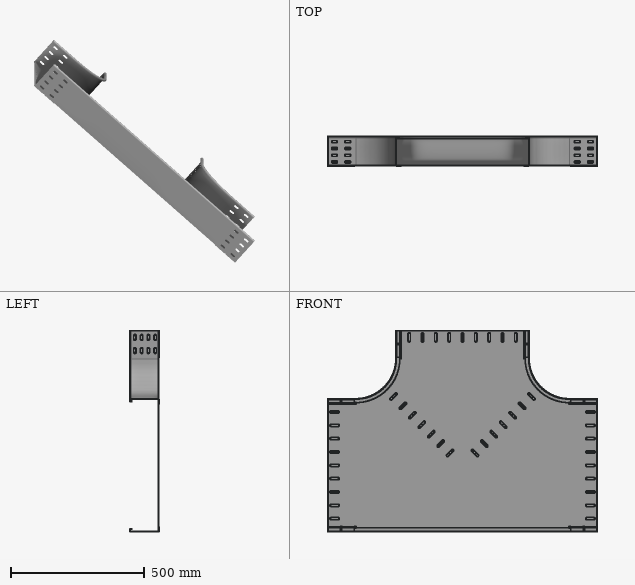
import cadquery as cq
import math


length = 1010.0
tray_width = 500.0
arm_length = (length - tray_width) / 2
height = tray_width + arm_length
end_length = 105.0
corner_radius = arm_length - end_length
half_length = length / 2
half_width = tray_width / 2
corner_x = -half_width - corner_radius
corner_z = tray_width + corner_radius

sheet = 2.0
total_depth = 112.0
wall_depth = total_depth - sheet
flange_width = 15.0
hem_radius = 6.0
hem_return = 2.0
hem_inner_radius = hem_radius - sheet

tab_count = 2
relief = 5.0
tab_length = end_length / tab_count - relief
tab_tip = 3.5
tab_bend = 17.0
tab_root = 20.0

slot_width = 7.0
floor_slot_length = 33.0
floor_slot_pitch = tray_width / 10
floor_slot_from_end = 25.0
end_slot_count = 9
diagonal_slot_count = 7
wall_slot_length = 20.0
wall_slot_columns = (25.0, 75.0)
wall_slot_first_row = 14.0
wall_slot_row_pitch = 25.0
wall_slot_rows = 4

Y_AXIS = cq.Vector(0, 1, 0)
LEFT_TO_RIGHT = cq.Vector(1, 0, 0)
RIGHT_TO_LEFT = cq.Vector(-1, 0, 0)
UPWARD = cq.Vector(0, 0, 1)
DOWNWARD = cq.Vector(0, 0, -1)


def section_plane(x, z, along):
    """Plane across a wall run: local x points into the tee from the wall outside, local y is +Y."""
    return cq.Workplane(cq.Plane((x, 0, z), Y_AXIS.cross(along), along))


def wall_section(plane):
    """Front flange, web and half-round hem of a wall, as one closed outline."""
    hem_start = wall_depth - hem_radius
    hem_tip = 2 * hem_radius
    return (
        plane.moveTo(0, 0)
        .lineTo(flange_width, 0)
        .lineTo(flange_width, sheet)
        .lineTo(sheet, sheet)
        .lineTo(sheet, hem_start)
        .threePointArc((hem_radius, hem_start + hem_inner_radius), (hem_tip - sheet, hem_start))
        .lineTo(hem_tip - sheet, hem_start - hem_return)
        .lineTo(hem_tip, hem_start - hem_return)
        .lineTo(hem_tip, hem_start)
        .threePointArc((hem_radius, wall_depth), (0, hem_start))
        .close()
    )


def wall_slots(x, z, from_opening):
    """Cutter for the slots in one wall end whose outer face meets the opening at (x, z)."""
    plane = cq.Plane((x, 0, z), from_opening, from_opening.cross(Y_AXIS))
    places = [
        (column, wall_slot_first_row + row * wall_slot_row_pitch)
        for column in wall_slot_columns
        for row in range(wall_slot_rows)
    ]
    slots = cq.Workplane(plane).pushPoints(places).slot2D(wall_slot_length, slot_width)
    return slots.extrude(2 * sheet, both=True)


def make_straight_wall():
    wall = wall_section(section_plane(half_length, 0, RIGHT_TO_LEFT)).extrude(length)
    wall = wall.cut(wall_slots(-half_length, 0, LEFT_TO_RIGHT))
    return wall.cut(wall_slots(half_length, 0, RIGHT_TO_LEFT))


def make_curved_wall():
    """Left corner wall: arm end, quarter bend and upright end."""
    arm_end = wall_section(section_plane(-half_length, tray_width, LEFT_TO_RIGHT)).extrude(end_length)
    bend = wall_section(section_plane(corner_x, tray_width, LEFT_TO_RIGHT)).revolve(
        90, (-corner_radius, 0), (-corner_radius, -1)
    )
    upright_end = wall_section(section_plane(-half_width, corner_z, UPWARD)).extrude(end_length)
    wall = arm_end.union(bend).union(upright_end)
    wall = wall.cut(wall_slots(-half_length, tray_width, LEFT_TO_RIGHT))
    return wall.cut(wall_slots(-half_width, height, DOWNWARD))


def half_floor():
    """Left half of the floor, meeting the wall flange edges, cut further back where the tabs go."""
    flange_radius = corner_radius + flange_width
    arc_middle = (
        corner_x + flange_radius * math.cos(math.radians(45)),
        corner_z - flange_radius * math.sin(math.radians(45)),
    )
    return (
        cq.Workplane("XZ")
        .moveTo(0, flange_width)
        .lineTo(corner_x, flange_width)
        .lineTo(corner_x, tab_root)
        .lineTo(-half_length, tab_root)
        .lineTo(-half_length, tray_width - tab_root)
        .lineTo(corner_x, tray_width - tab_root)
        .lineTo(corner_x, tray_width - flange_width)
        .threePointArc(arc_middle, (-half_width + flange_width, corner_z))
        .lineTo(-half_width + tab_root, corner_z)
        .lineTo(-half_width + tab_root, height)
        .lineTo(0, height)
        .close()
        .extrude(-sheet)
    )


def end_tabs(x, z, along):
    """Row of stepped tabs on one floor edge, from the inner end (x, z) out to the opening."""
    tabs = cq.Workplane()
    for index in range(tab_count):
        start = relief + index * (tab_length + relief)
        tab = (
            section_plane(x, z, along)
            .workplane(offset=start)
            .moveTo(tab_tip, 0)
            .lineTo(flange_width, 0)
            .lineTo(flange_width + tab_root - tab_bend, sheet)
            .lineTo(tab_root, sheet)
            .lineTo(tab_root, 0)
            .lineTo(tab_bend, -sheet)
            .lineTo(tab_tip, -sheet)
            .close()
            .extrude(tab_length)
        )
        tabs = tabs.add(tab)
    return tabs


def floor_slots(places, angle):
    """Cutter for floor slots at (x, z) places, turned by an angle from the X axis."""
    slots = cq.Workplane("XZ").pushPoints(places).slot2D(floor_slot_length, slot_width, angle)
    return slots.extrude(-sheet)


def make_floor():
    floor = half_floor()
    lower_tabs = end_tabs(corner_x, 0, RIGHT_TO_LEFT)
    upright_tabs = end_tabs(-half_width, corner_z, UPWARD)
    for tab in lower_tabs.vals() + upright_tabs.vals():
        floor = floor.union(cq.Workplane(tab))
    for tab in lower_tabs.vals():
        floor = floor.union(cq.Workplane(tab).mirror("XY", (0, 0, half_width)))
    floor = floor.union(floor.mirror("YZ"))

    row = [(index + 1) * floor_slot_pitch for index in range(end_slot_count)]
    slot_x = half_length - floor_slot_from_end
    arm_places = [(side * slot_x, z) for side in (-1, 1) for z in row]
    upright_places = [(across - half_width, height - floor_slot_from_end) for across in row]
    floor = floor.cut(floor_slots(arm_places, 0))
    floor = floor.cut(floor_slots(upright_places, 90))

    steps = [
        (corner_radius + (index + 1) * floor_slot_pitch) * math.sin(math.radians(45))
        for index in range(diagonal_slot_count)
    ]
    for side in (-1, 1):
        diagonal_places = [(-side * (corner_x + step), corner_z - step) for step in steps]
        floor = floor.cut(floor_slots(diagonal_places, -side * 45))
    return floor


floor = make_floor()
straight_wall = make_straight_wall()
left_wall = make_curved_wall()
curved_walls = [left_wall, left_wall.mirror("YZ")]

result = cq.Compound.makeCompound(
    [floor.val(), straight_wall.val(), *[wall.val() for wall in curved_walls]]
)